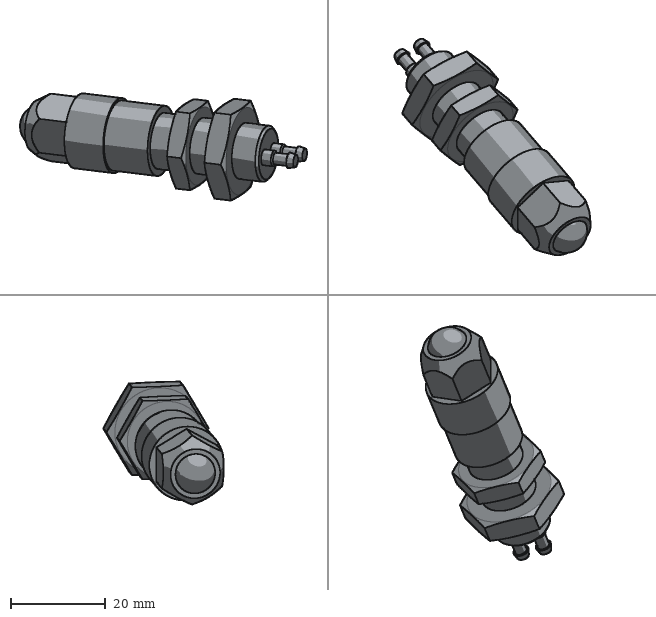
import cadquery as cq
import math


CAP_FACE_X = 3.0
CAP_END_X = 13.15
COLLAR_END_X = 22.0
SLEEVE_END_X = 31.95
BARREL_END_X = 56.55
OVERALL_LENGTH = 63.8

DOME_DIAMETER = 8.55
COLLAR_DIAMETER = 16.0
SLEEVE_DIAMETER = 15.0
BARREL_DIAMETER = 12.0
BARREL_CHAMFER = 0.6

CAP_CORNER_DIAMETER = 15.0
CAP_FACE_DIAMETER = 10.65
CAP_CONE_ANGLE = 30.0

SMALL_NUT_X = 37.0
SMALL_NUT_WIDTH = 4.0
SMALL_NUT_FLATS = 17.0
LARGE_NUT_X = 46.0
LARGE_NUT_WIDTH = 4.65
LARGE_NUT_FLATS = 19.0
NUT_FACE_INSET = 0.4
NUT_CHAMFER_ANGLE = 15.0

BARB_OFFSET_Y = 2.5
BARB_BASE_DIAMETER = 3.4
BARB_NECK_DIAMETER = 2.55
BARB_HEAD_DIAMETER = 3.4
BARB_TIP_DIAMETER = 2.7
BARB_BASE_LENGTH = 2.25
BARB_TAPER_LENGTH = 0.3
BARB_HEAD_LENGTH = 1.45

FLATS_PER_CORNERS = math.cos(math.radians(30))


def revolve_about_x(profile):
    return profile.close().revolve(360, (0, 0, 0), (1, 0, 0))


def cylinder(start_x, end_x, diameter):
    return cq.Workplane("YZ").workplane(offset=start_x).circle(diameter / 2).extrude(end_x - start_x)


def hexagon(start_x, width, corner_diameter):
    """Hexagonal prism along X with two corners on the Y axis."""
    return cq.Workplane("YZ").workplane(offset=start_x).polygon(6, corner_diameter).extrude(width)


def make_dome():
    """Spherical cap rising from the flat front of the hexagonal cap."""
    base_radius = DOME_DIAMETER / 2
    sphere_radius = (base_radius**2 + CAP_FACE_X**2) / (2 * CAP_FACE_X)
    half_angle = math.asin(base_radius / sphere_radius) / 2
    mid_point = (sphere_radius * (1 - math.cos(half_angle)), sphere_radius * math.sin(half_angle))
    profile = (
        cq.Workplane("XY")
        .threePointArc(mid_point, (CAP_FACE_X, base_radius))
        .lineTo(CAP_FACE_X, 0)
    )
    return revolve_about_x(profile)


def make_cap():
    """Hexagon with corners up and down, trimmed by the nose cone."""
    prism = hexagon(CAP_FACE_X, CAP_END_X - CAP_FACE_X, CAP_CORNER_DIAMETER)
    prism = prism.rotate((0, 0, 0), (1, 0, 0), 90)
    face_radius = CAP_FACE_DIAMETER / 2
    outer_radius = CAP_CORNER_DIAMETER / 2 + 0.65
    cone_length = (outer_radius - face_radius) / math.tan(math.radians(CAP_CONE_ANGLE))
    envelope = (
        cq.Workplane("XY")
        .moveTo(CAP_FACE_X, 0)
        .lineTo(CAP_FACE_X, face_radius)
        .lineTo(CAP_FACE_X + cone_length, outer_radius)
        .lineTo(CAP_END_X, outer_radius)
        .lineTo(CAP_END_X, 0)
    )
    return prism.intersect(revolve_about_x(envelope))


def make_nut(start_x, width, across_flats):
    """Hexagonal nut with the corners chamfered on both faces."""
    corner_diameter = across_flats / FLATS_PER_CORNERS
    face_radius = (across_flats - NUT_FACE_INSET) / 2
    corner_radius = corner_diameter / 2
    chamfer = (corner_radius - face_radius) * math.tan(math.radians(NUT_CHAMFER_ANGLE))
    end_x = start_x + width
    envelope = (
        cq.Workplane("XY")
        .moveTo(start_x, 0)
        .lineTo(start_x, face_radius)
        .lineTo(start_x + chamfer, corner_radius)
        .lineTo(end_x - chamfer, corner_radius)
        .lineTo(end_x, face_radius)
        .lineTo(end_x, 0)
    )
    return hexagon(start_x, width, corner_diameter).intersect(revolve_about_x(envelope))


def make_barb(offset_y):
    """Stepped hose barb: base, tapered shoulder, neck and tapered head."""
    base_end_x = BARREL_END_X + BARB_BASE_LENGTH
    head_x = OVERALL_LENGTH - BARB_HEAD_LENGTH
    profile = (
        cq.Workplane("XY")
        .moveTo(BARREL_END_X, 0)
        .lineTo(BARREL_END_X, BARB_BASE_DIAMETER / 2)
        .lineTo(base_end_x, BARB_BASE_DIAMETER / 2)
        .lineTo(base_end_x + BARB_TAPER_LENGTH, BARB_NECK_DIAMETER / 2)
        .lineTo(head_x, BARB_NECK_DIAMETER / 2)
        .lineTo(head_x, BARB_HEAD_DIAMETER / 2)
        .lineTo(OVERALL_LENGTH, BARB_TIP_DIAMETER / 2)
        .lineTo(OVERALL_LENGTH, 0)
    )
    return revolve_about_x(profile).translate((0, offset_y, 0))


collar = cylinder(CAP_END_X, COLLAR_END_X, COLLAR_DIAMETER)
sleeve = cylinder(COLLAR_END_X, SLEEVE_END_X, SLEEVE_DIAMETER)
barrel = cylinder(SLEEVE_END_X, BARREL_END_X, BARREL_DIAMETER).faces(">X").chamfer(BARREL_CHAMFER)

result = make_dome().union(make_cap()).union(collar).union(sleeve).union(barrel)
result = result.union(make_nut(SMALL_NUT_X, SMALL_NUT_WIDTH, SMALL_NUT_FLATS))
result = result.union(make_nut(LARGE_NUT_X, LARGE_NUT_WIDTH, LARGE_NUT_FLATS))
for side in (-1, 1):
    result = result.union(make_barb(side * BARB_OFFSET_Y))